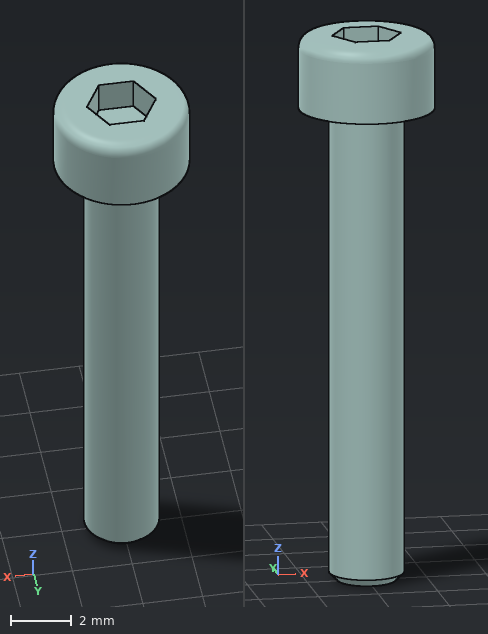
import cadquery as cq
import math

thread_diameter = 2.5
shank_length = 16.0
head_diameter = 4.5
head_height = thread_diameter
head_fillet = 0.1 * head_diameter
tip_chamfer = 0.276
hex_across_flats = 2.0
hex_sides = 6
hex_across_corners = hex_across_flats / math.cos(math.pi / hex_sides)
socket_depth = 1.1


def make_head():
    """Cylindrical head with a rounded upper rim."""
    head = cq.Workplane("XY").circle(head_diameter / 2).extrude(head_height)
    return head.faces(">Z").edges().fillet(head_fillet)


def make_shank():
    """Plain shank below the head with a chamfered tip."""
    shank = cq.Workplane("XY").circle(thread_diameter / 2).extrude(-shank_length)
    return shank.faces("<Z").edges().chamfer(tip_chamfer)


def make_socket():
    """Hexagonal key socket, two corners on the X axis, sunk from the head top."""
    top = cq.Workplane("XY").workplane(offset=head_height)
    return top.polygon(hex_sides, hex_across_corners).extrude(-socket_depth)


result = make_head().union(make_shank()).cut(make_socket())